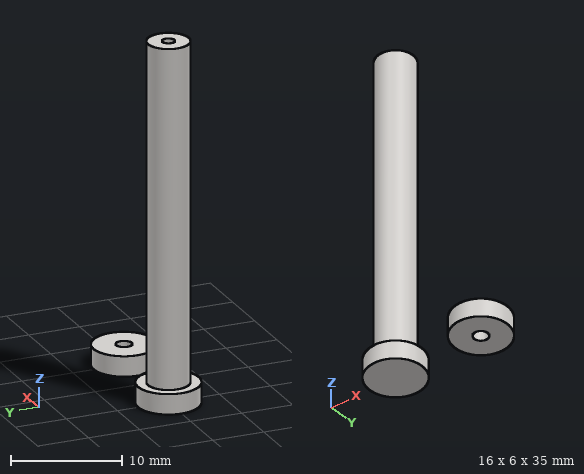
import cadquery as cq
import math

total_height = 35.0
flange_diameter = 6.0
flange_height = 2.0
shaft_diameter = 4.0
screw_hole_diameter = 1.2
screw_hole_depth = 10.0
drill_tip_angle = 118.0
washer_hole_diameter = 1.5
washer_spacing = 10.0


def make_pin():
    """Flanged pin standing on its flange, with a blind drilled screw hole in the free end."""
    flange = cq.Workplane("XY").circle(flange_diameter / 2).extrude(flange_height)
    shaft = cq.Workplane("XY").circle(shaft_diameter / 2).extrude(total_height)
    screw_hole_radius = screw_hole_diameter / 2
    tip_height = screw_hole_radius / math.tan(math.radians(drill_tip_angle / 2))
    hole_floor = total_height - screw_hole_depth
    screw_hole = (
        cq.Workplane("XZ")
        .moveTo(0, total_height)
        .lineTo(screw_hole_radius, total_height)
        .lineTo(screw_hole_radius, hole_floor)
        .lineTo(0, hole_floor - tip_height)
        .close()
        .revolve(360, (0, 0), (0, 1))
    )
    return flange.union(shaft).cut(screw_hole)


def make_washer():
    """Loose retaining washer, matching the flange, with a through clearance hole."""
    return (
        cq.Workplane("XY")
        .center(washer_spacing, 0)
        .circle(flange_diameter / 2)
        .circle(washer_hole_diameter / 2)
        .extrude(flange_height)
    )


pin = make_pin()
washer = make_washer()

result = cq.Compound.makeCompound([pin.val(), washer.val()])